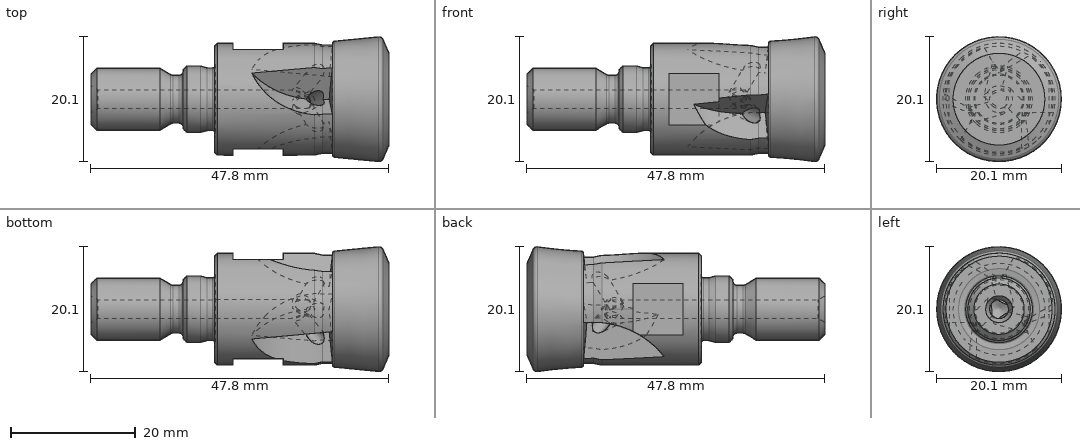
import cadquery as cq
import math

total_length = 47.8

shank_radius = 10.0 / 2
shank_chamfer = 0.95
shank_end = 11.05
waist_radius = 7.7 / 2
waist_start = 12.95
waist_end = 14.1
waist_fillet = 0.65
waist_entry_radius = 0.75

collar_radius = 10.7 / 2
collar_chamfer = 0.6
collar_start = waist_end + waist_fillet
collar_end = 17.55
relief_radius = 10.1 / 2
relief_start = 18.65
relief_end = 19.45
relief_fillet = 0.5
shoulder_recess_radius = 6.5

body_start = 19.8
body_radius = 18.0 / 2
body_chamfer = 0.5
body_end = 35.8
neck_start = 37.15
neck_radius = 8.7

flat_start = 22.8
flat_length = 8.05
flat_distance = 8.0

head_back_apex = 37.7
head_back = 38.77
head_back_round = 0.4
head_max_radius = 20.05 / 2
head_taper = 5.6
head_bevel = 66.5
head_rim_round = 0.7
head_rim_station = 46.2

flute_count = 3
flute_turn = -30
flute_floor = 2.1
flute_arc_radius = 14.35
flute_arc_center = 37.1
flute_wall_offset = 3.85
flute_wall_station = 35.85
flute_wall_rake = 5.2
flute_reach = 11.95

bore_diameter = 3.0
bore_mouth_diameter = 4.3
bore_mouth_angle = 60
bore_depth = 35.0
bore_tip_angle = 118
outlet_diameter = 2.5
outlet_tilt = 30
outlet_station = 35.8
outlet_extra_length = 2.4


def make_shaft():
    """Shank, waist, collar, relief groove and body as one turned solid."""
    half_root = math.sqrt(0.5)
    cone_angle = math.atan2(shank_radius - waist_radius, waist_start - shank_end)
    waist_entry_tangent = waist_entry_radius * math.tan(cone_angle / 2)
    waist_entry_end = waist_start + waist_entry_tangent

    def waist_entry_point(angle):
        return (
            waist_entry_end - waist_entry_radius * math.sin(angle),
            waist_radius + waist_entry_radius * (1 - math.cos(angle)),
        )

    waist_arc_middle = (
        waist_end + waist_fillet * half_root,
        waist_radius + waist_fillet * (1 - half_root),
    )
    relief_arc_middle = (
        relief_end + relief_fillet * half_root,
        relief_radius + relief_fillet * (1 - half_root),
    )
    profile = (
        cq.Workplane("XY")
        .moveTo(0, 0)
        .lineTo(0, shank_radius - shank_chamfer)
        .lineTo(shank_chamfer, shank_radius)
        .lineTo(shank_end, shank_radius)
        .lineTo(*waist_entry_point(cone_angle))
        .threePointArc(waist_entry_point(cone_angle / 2), (waist_entry_end, waist_radius))
        .lineTo(waist_end, waist_radius)
        .threePointArc(waist_arc_middle, (collar_start, waist_radius + waist_fillet))
        .lineTo(collar_start, collar_radius - collar_chamfer)
        .lineTo(collar_start + collar_chamfer, collar_radius)
        .lineTo(collar_end, collar_radius)
        .lineTo(relief_start, relief_radius)
        .lineTo(relief_end, relief_radius)
        .threePointArc(relief_arc_middle, (relief_end + relief_fillet, relief_radius + relief_fillet))
        .lineTo(body_start, shoulder_recess_radius)
        .lineTo(body_start, body_radius - body_chamfer)
        .lineTo(body_start + body_chamfer, body_radius)
        .lineTo(body_end, body_radius)
        .lineTo(neck_start, neck_radius)
        .lineTo(head_back, neck_radius)
        .lineTo(head_back, 0)
        .close()
    )
    return profile.revolve(360, (0, 0, 0), (1, 0, 0))


def make_head():
    """Tapered head with a slightly conical back, a bevelled front and rounded rims."""
    taper = math.radians(head_taper)
    bevel = math.radians(head_bevel)

    def rim_point(angle):
        return (
            head_rim_station + head_rim_round * math.sin(angle),
            head_max_radius - head_rim_round * (1 - math.cos(angle)),
        )

    rim_start = rim_point(-taper)
    rim_end = rim_point(bevel)
    back_radius = rim_start[1] - (rim_start[0] - head_back) * math.tan(taper)
    face_radius = rim_end[1] - (total_length - rim_end[0]) * math.tan(bevel)
    profile = (
        cq.Workplane("XY")
        .moveTo(head_back_apex, 0)
        .lineTo(head_back, back_radius)
        .lineTo(*rim_start)
        .threePointArc(rim_point(0), rim_end)
        .lineTo(total_length, face_radius)
        .lineTo(total_length, 0)
        .close()
    )
    head = profile.revolve(360, (0, 0, 0), (1, 0, 0))
    back_edge = cq.selectors.NearestToPointSelector((head_back, 0, 0))
    return head.edges(back_edge).fillet(head_back_round)


def make_wrench_flat(side):
    """Block that cuts the wrench flat on the given Y side (-1 or +1)."""
    block_depth = body_radius - flat_distance
    return cq.Workplane("XY").box(flat_length, block_depth, 2 * body_radius).translate(
        (flat_start + flat_length / 2, side * (flat_distance + block_depth / 2), 0)
    )


def make_flute():
    """Flute cutter opening toward -Y, with its wall on the +Z side."""
    arc_center_height = flute_floor + flute_arc_radius

    def arc_point(height):
        drop = arc_center_height - height
        return flute_arc_center - math.sqrt(flute_arc_radius**2 - drop**2), -height

    floor_block = (
        cq.Workplane("XY")
        .workplane(offset=-flute_reach)
        .moveTo(*arc_point(flute_reach))
        .threePointArc(arc_point(flute_reach / 2), (flute_arc_center, -flute_floor))
        .lineTo(head_back, -flute_floor)
        .lineTo(head_back, -flute_reach)
        .close()
        .extrude(flute_reach)
    )

    def wall_point(station):
        rise = (station - flute_wall_station) * math.tan(math.radians(flute_wall_rake))
        return station, rise - flute_wall_offset

    wall_wedge = (
        cq.Workplane("XZ")
        .moveTo(*wall_point(body_start))
        .lineTo(*wall_point(head_back))
        .lineTo(head_back, -flute_reach)
        .lineTo(body_start, -flute_reach)
        .close()
        .extrude(flute_reach)
    )
    return floor_block.intersect(wall_wedge)


def make_outlet():
    """Coolant outlet from the bore through the corner of the flute above, midway between floor and wall."""
    tilt = math.radians(outlet_tilt)
    sideways = math.cos(tilt) * math.sqrt(0.5)
    direction = cq.Vector(math.sin(tilt), -sideways, -sideways)
    corner = cq.Vector(outlet_station, -flute_floor, -flute_wall_offset)
    inner_length = (flute_floor + flute_wall_offset) * math.sqrt(0.5) / math.cos(tilt)
    start = corner - direction * inner_length
    length = inner_length + outlet_extra_length
    return cq.Workplane(cq.Solid.makeCylinder(outlet_diameter / 2, length, start, direction))


def make_bore():
    """Blind coolant bore with a tapered mouth and a drill-point end."""
    radius = bore_diameter / 2
    mouth_radius = bore_mouth_diameter / 2
    mouth_depth = (mouth_radius - radius) / math.tan(math.radians(bore_mouth_angle / 2))
    tip_length = radius / math.tan(math.radians(bore_tip_angle / 2))
    profile = cq.Workplane("XY").polyline(
        [
            (0, 0),
            (0, mouth_radius),
            (mouth_depth, radius),
            (bore_depth, radius),
            (bore_depth + tip_length, 0),
        ]
    )
    return profile.close().revolve(360, (0, 0, 0), (1, 0, 0))


shaft = make_shaft().cut(make_bore())

for side in (-1, 1):
    shaft = shaft.cut(make_wrench_flat(side))

flute_cutter = make_flute().union(make_outlet())
for index in range(flute_count):
    angle = flute_turn + index * 360 / flute_count
    shaft = shaft.cut(flute_cutter.rotate((0, 0, 0), (1, 0, 0), angle))

result = shaft.union(make_head())